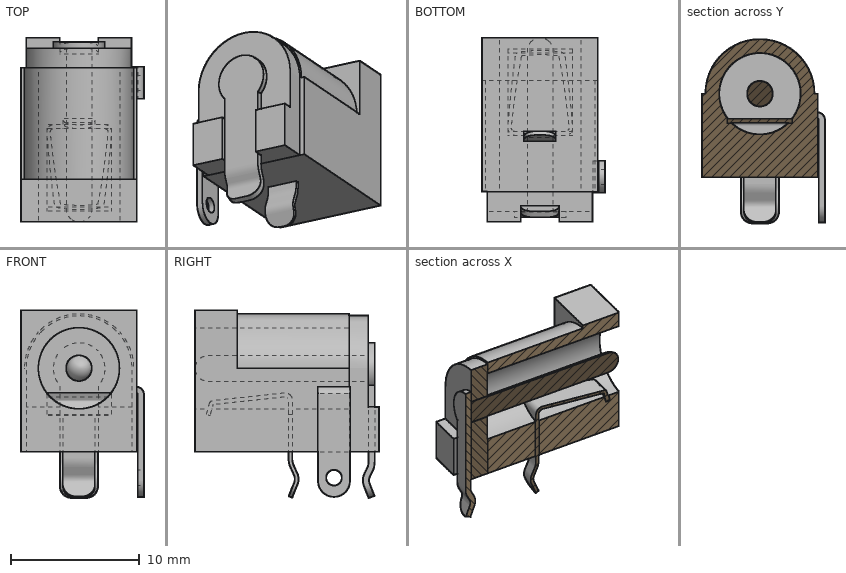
import cadquery as cq
import math


HOUSING_WIDTH = 9.0
HOUSING_HEIGHT = 11.0
HOUSING_LENGTH = 11.96
FLANGE_LENGTH = 3.3
BARREL_RADIUS = 4.25
BORE_DIAMETER = 6.3
AXIS_Z = HOUSING_HEIGHT - HOUSING_WIDTH / 2

CAP_WIDTH = 8.2
CAP_REAR_Y = 13.47
FOOT_HEIGHT = 3.5
FOOT_REAR_Y = 14.3

PIN_DIAMETER = 2.0

REAR_THICKNESS = 0.5
REAR_WIDTH = 2.98
REAR_DISC_DIAMETER = 4.0
REAR_MID_Y = CAP_REAR_Y + REAR_THICKNESS / 2
REAR_KINK_START_Z = -1.11
REAR_KINK_Z = -2.16
REAR_KINK_OFFSET = 0.53
REAR_TIP_Z = -3.5
REAR_BEND_RADII = (1.02, 0.73)

SPRING_THICKNESS = 0.3
SPRING_LEAF_WIDTH = 5.0
SPRING_LEAD_WIDTH = 2.5
SPRING_LEAD_Y = 7.41
SPRING_REAR_Z = 4.67
SPRING_CREST_Y = 1.15
SPRING_CREST_Z = 3.98
SPRING_LIP_Y = 0.86
SPRING_SHOULDER_Z = 2.92
SPRING_LEAF_RADII = (0.06, 0.29)
SPRING_KINK_START_Z = -0.83
SPRING_KINK_Z = -2.09
SPRING_KINK_OFFSET = 0.57
SPRING_TIP_Z = -3.5
SPRING_BEND_RADII = (1.31, 0.76)

TIP_CORNER_RADIUS = 0.99

SIDE_THICKNESS = 0.5
SIDE_WIDTH = 2.5
SIDE_MID_Y = 10.8
OVERALL_WIDTH = 9.55
SIDE_OUTER_X = OVERALL_WIDTH - HOUSING_WIDTH / 2
SIDE_TOP_Z = 5.06
SIDE_BEND_RADIUS = 0.12
SIDE_BOTTOM_Z = -3.5
SIDE_HOLE_DIAMETER = 1.2
SIDE_HOLE_Z = -2.0


def box(x_min, x_max, y_min, y_max, z_min, z_max):
    """Block given by its limits along each axis."""
    size = (x_max - x_min, y_max - y_min, z_max - z_min)
    return cq.Workplane("XY").box(*size, centered=False).translate((x_min, y_min, z_min))


def rod(diameter, y_min, y_max):
    """Cylinder on the bore axis."""
    profile = cq.Workplane("XZ", origin=(0, y_min, AXIS_Z)).circle(diameter / 2)
    return profile.extrude(y_min - y_max)


def offset_side(path, distance):
    """Points of a line parallel to an open path, to its left, with mitred corners."""
    directions = []
    for (y0, z0), (y1, z1) in zip(path, path[1:]):
        directions.append(math.atan2(z1 - z0, y1 - y0))
    before = directions[:1] + directions
    after = directions + directions[-1:]
    points = []
    for (y, z), angle_in, angle_out in zip(path, before, after):
        middle = (angle_in + angle_out) / 2
        reach = distance / math.cos((angle_out - angle_in) / 2)
        points.append((y - reach * math.sin(middle), z + reach * math.cos(middle)))
    return points


def bent_strip(path, inner_radii, thickness, width):
    """Sheet strip following a path of (y, z) points, with one inner radius per bend."""
    left = offset_side(path, thickness / 2)
    right = offset_side(path, -thickness / 2)
    strip = cq.Workplane("YZ").polyline(left + right[::-1]).close().extrude(width / 2, both=True)
    for i, inner_radius in enumerate(inner_radii, start=1):
        (y0, z0), (y1, z1), (y2, z2) = path[i - 1:i + 2]
        turns_left = (y1 - y0) * (z2 - z1) > (z1 - z0) * (y2 - y1)
        inner, outer = (left, right) if turns_left else (right, left)
        for corner, radius in ((inner[i], inner_radius), (outer[i], inner_radius + thickness)):
            edge = cq.selectors.NearestToPointSelector((0, *corner))
            strip = strip.edges(edge).fillet(radius)
    return strip


def solder_lead(mid_y, top_z, kink_start_z, kink_z, kink_offset, tip_z, radii, thickness, width):
    """Vertical lead with a snap-in kink and a round-cornered tip."""
    path = [
        (mid_y, top_z),
        (mid_y, kink_start_z),
        (mid_y + kink_offset, kink_z),
        (mid_y, tip_z),
    ]
    lead = bent_strip(path, radii, thickness, width)
    for side in (-1, 1):
        corner = cq.selectors.NearestToPointSelector((side * width / 2, mid_y, tip_z))
        lead = lead.edges(corner).fillet(TIP_CORNER_RADIUS)
    return lead


def make_spring():
    """Leaf with a bent-down front lip, turned down at the rear into the lead."""
    rear_y = SPRING_LEAD_Y + SPRING_THICKNESS / 2
    outer_path = [
        (SPRING_LIP_Y, SPRING_SHOULDER_Z),
        (SPRING_CREST_Y, SPRING_CREST_Z),
        (rear_y, SPRING_REAR_Z),
        (rear_y, SPRING_SHOULDER_Z),
    ]
    middle_path = offset_side(outer_path, -SPRING_THICKNESS / 2)
    leaf = bent_strip(middle_path, SPRING_LEAF_RADII, SPRING_THICKNESS, SPRING_LEAF_WIDTH)
    lead = solder_lead(
        SPRING_LEAD_Y, SPRING_SHOULDER_Z, SPRING_KINK_START_Z, SPRING_KINK_Z, SPRING_KINK_OFFSET,
        SPRING_TIP_Z, SPRING_BEND_RADII, SPRING_THICKNESS, SPRING_LEAD_WIDTH,
    )
    return leaf.union(lead)


def make_rear_terminal():
    """Round contact plate behind the pin, continued down as a solder lead."""
    disc = rod(REAR_DISC_DIAMETER, CAP_REAR_Y, CAP_REAR_Y + REAR_THICKNESS)
    lead = solder_lead(
        REAR_MID_Y, AXIS_Z, REAR_KINK_START_Z, REAR_KINK_Z, -REAR_KINK_OFFSET,
        REAR_TIP_Z, REAR_BEND_RADII, REAR_THICKNESS, REAR_WIDTH,
    )
    return disc.union(lead)


def make_side_terminal():
    """Bent plate whose leg ends at the flank of the cap."""
    y_min = SIDE_MID_Y - SIDE_WIDTH / 2
    y_max = SIDE_MID_Y + SIDE_WIDTH / 2
    inner_x = SIDE_OUTER_X - SIDE_THICKNESS
    leg_bottom_z = SIDE_TOP_Z - SIDE_THICKNESS
    round_center_z = SIDE_BOTTOM_Z + SIDE_WIDTH / 2
    plate = box(inner_x, SIDE_OUTER_X, y_min, y_max, round_center_z, SIDE_TOP_Z)
    round_end = cq.Workplane("YZ", origin=(inner_x, SIDE_MID_Y, round_center_z))
    plate = plate.union(round_end.circle(SIDE_WIDTH / 2).extrude(SIDE_THICKNESS))
    leg = box(CAP_WIDTH / 2, SIDE_OUTER_X, y_min, y_max, leg_bottom_z, SIDE_TOP_Z)
    terminal = plate.union(leg)
    inner_bend = cq.selectors.NearestToPointSelector((inner_x, SIDE_MID_Y, leg_bottom_z))
    terminal = terminal.edges(inner_bend).fillet(SIDE_BEND_RADIUS)
    outer_bend = cq.selectors.NearestToPointSelector((SIDE_OUTER_X, SIDE_MID_Y, SIDE_TOP_Z))
    terminal = terminal.edges(outer_bend).fillet(SIDE_BEND_RADIUS + SIDE_THICKNESS)
    hole = cq.Workplane("YZ").center(SIDE_MID_Y, SIDE_HOLE_Z).circle(SIDE_HOLE_DIAMETER / 2)
    return terminal.cut(hole.extrude(SIDE_OUTER_X))


def make_pin():
    """Round-nosed pin reaching from the front face to the rear terminal."""
    radius = PIN_DIAMETER / 2
    nose_middle = radius * math.sqrt(0.5)
    half_profile = (
        cq.Workplane("XY", origin=(0, 0, AXIS_Z))
        .moveTo(0, 0)
        .threePointArc((nose_middle, radius - nose_middle), (radius, radius))
        .lineTo(radius, CAP_REAR_Y)
        .lineTo(0, CAP_REAR_Y)
        .close()
    )
    return half_profile.revolve(360, (0, 0, 0), (0, 1, 0))


def make_cap(pin):
    """Arched plug that closes the bore, with two feet either side of the rear lead."""
    half_width = CAP_WIDTH / 2
    cap = box(-half_width, half_width, HOUSING_LENGTH, CAP_REAR_Y, 0, AXIS_Z)
    cap = cap.union(rod(CAP_WIDTH, HOUSING_LENGTH, CAP_REAR_Y))
    for x_min, x_max in ((-half_width, -REAR_WIDTH / 2), (REAR_WIDTH / 2, half_width)):
        cap = cap.union(box(x_min, x_max, CAP_REAR_Y, FOOT_REAR_Y, 0, FOOT_HEIGHT))
    return cap.cut(pin)


def make_housing(spring, side_terminal):
    """Flanged, bored shell with recesses that match the spring and the side terminal."""
    half_width = HOUSING_WIDTH / 2
    flange = box(-half_width, half_width, 0, FLANGE_LENGTH, 0, HOUSING_HEIGHT)
    base = box(-half_width, half_width, 0, HOUSING_LENGTH, 0, AXIS_Z)
    barrel = rod(2 * BARREL_RADIUS, 0, HOUSING_LENGTH)
    bore = rod(BORE_DIAMETER, 0, HOUSING_LENGTH)
    return flange.union(base).union(barrel).cut(bore).cut(spring).cut(side_terminal)


spring = make_spring()
rear_terminal = make_rear_terminal()
side_terminal = make_side_terminal()
pin = make_pin()
cap = make_cap(pin)
housing = make_housing(spring, side_terminal)

result = cq.Compound.makeCompound([
    housing.val(),
    cap.val(),
    pin.val(),
    rear_terminal.val(),
    spring.val(),
    side_terminal.val(),
])